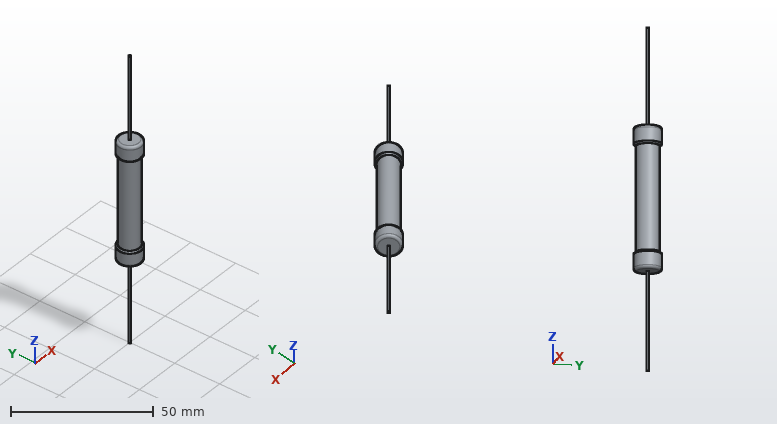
import cadquery as cq

total_length = 124.0
lead_diameter = 1.0
body_length = 52.1
tube_diameter = 8.5
cap_length = 6.8
cap_diameter = 10.0
cap_outer_fillet = 1.1

cap_inner_chamfer = (cap_diameter - tube_diameter) / 2


def cylinder(diameter, length):
    """Cylinder along Z, centred on the origin."""
    return cq.Workplane("XY", origin=(0, 0, -length / 2)).circle(diameter / 2).extrude(length)


def top_cap():
    """Cap at the +Z end of the body, with a rounded outer rim and a chamfered inner rim."""
    cap = cylinder(cap_diameter, cap_length)
    cap = cap.faces(">Z").edges().fillet(cap_outer_fillet)
    cap = cap.faces("<Z").edges().chamfer(cap_inner_chamfer)
    return cap.translate((0, 0, (body_length - cap_length) / 2))


tube = cylinder(tube_diameter, body_length - cap_length)
lead = cylinder(lead_diameter, total_length)
cap = top_cap()

result = tube.union(lead).union(cap).union(cap.mirror("XY"))